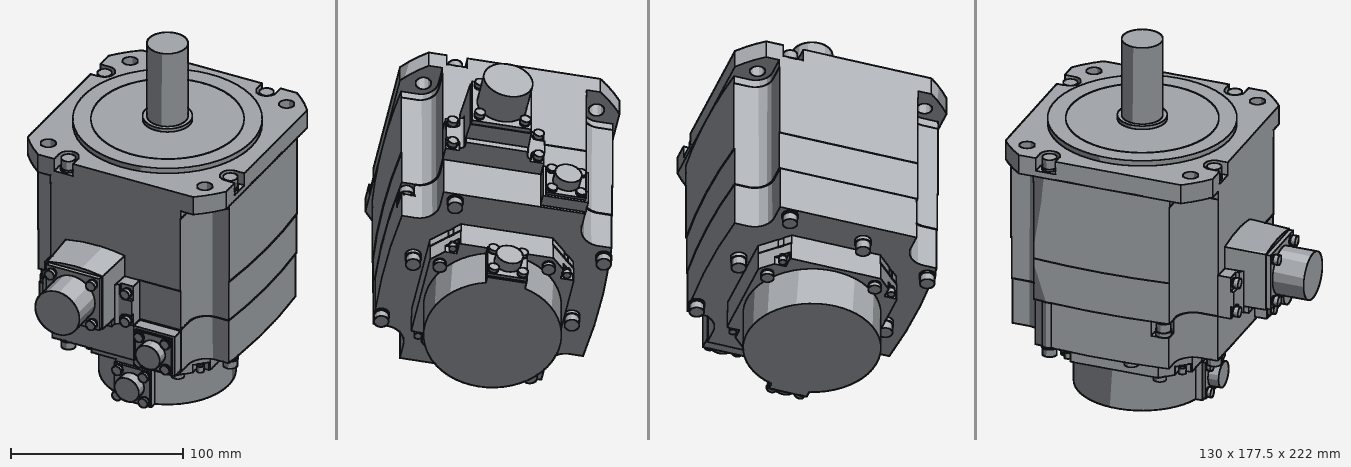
import cadquery as cq
import math


SHAFT_END = 55.0
COLLAR_TOP = 5.4
PILOT_TOP = 3.4
FLANGE_BOTTOM = -12.0
RELIEF_BOTTOM = -17.3
BODY_SPLIT = -66.8
BODY_BOTTOM = -93.5
BASE_BOTTOM = -122.8
BLOCK_BOTTOM = -140.7
OVERALL_LENGTH = 222.0
COVER_BOTTOM = SHAFT_END - OVERALL_LENGTH

SHAFT_DIA = 24.0
COLLAR_DIA = 29.0
PILOT_DIA = 110.0
SEAL_RECESS_DIA = 89.0
SEAL_RECESS_DEPTH = 0.2
FLANGE_SIZE = 130.0
FLANGE_CORNER_DIA = 165.0
BOLT_CIRCLE = 145.0
BOLT_HOLE_DIA = 9.0

BODY_WALL = 42.5
RELIEF_WALL = 42.7
BASE_WALL = 41.9
BODY_TANGENT = 54.0
RELIEF_TANGENT = 53.0
FACE_BULGE = 2.3
FACE_RADIUS = (BODY_WALL ** 2 + FACE_BULGE ** 2) / (2 * FACE_BULGE)
UPPER_HALF = FLANGE_SIZE / 2
LOWER_HALF = 64.6
BASE_HALF = 64.3

SCREW_X, SCREW_Y = 34.0, 59.0
HEAD_DIA = 8.5
HEAD_HEIGHT = 5.0
WASHER_DIA = 9.4
WASHER_HEIGHT = 1.3
FLANGE_POCKET_WIDTH = 12.2
FLANGE_POCKET_DEPTH = 8.2

BLOCK_HALF = 42.5
BLOCK_CHAMFER = 15.0
COVER_DIA = 80.0

OVERLAP = 1.0
CONNECTOR_SCREW_DIA = 6.0
CONNECTOR_WASHER_DIA = 5.4
SMALL_PLUG_DIA = 15.8
SMALL_PLATE = 23.5
SMALL_SCREW_OFFSET = 8.6
ENCODER_CONNECTOR_X, ENCODER_CONNECTOR_Z = 28.9, -107.7
COVER_CONNECTOR_Z = -153.8
POWER_X, POWER_Z = -13.3, -71.5
BRACKET_FACE = -74.8
POWER_SEAT = -90.3
POWER_PLUG_DIA = 29.0
OVERALL_DEPTH = 177.49
POWER_PLUG_END = FLANGE_SIZE / 2 - OVERALL_DEPTH


def box(x0, x1, y0, y1, z0, z1):
    """Box between two opposite corners."""
    return cq.Workplane("XY").box(x1 - x0, y1 - y0, z1 - z0, centered=False).translate((x0, y0, z0))


def rod_z(dia, z0, z1, x=0.0, y=0.0):
    """Cylinder along Z."""
    return cq.Workplane("XY", origin=(x, y, z0)).circle(dia / 2).extrude(z1 - z0)


def rod_y(dia, y0, y1, x, z):
    """Cylinder along Y, running from y0 out to the lower value y1."""
    return cq.Workplane("XZ", origin=(x, y0, z)).circle(dia / 2).extrude(y0 - y1)


def quarter_turns(shape):
    """The shape and its copies at 90, 180 and 270 degrees about the shaft axis."""
    return [shape.rotate((0, 0, 0), (0, 0, 1), 90 * i) for i in range(4)]


def join(shape, parts):
    for part in parts:
        shape = shape.union(part)
    return shape


def cut_all(shape, tools):
    for tool in tools:
        shape = shape.cut(tool)
    return shape


def screw_z(x, y, seat, direction, washer_height=WASHER_HEIGHT, washer_dia=WASHER_DIA,
            head_dia=HEAD_DIA, head_height=HEAD_HEIGHT):
    """Screw head on a washer, standing on a seat and pointing up (+1) or down (-1)."""
    head_seat = seat + direction * washer_height
    washer = rod_z(washer_dia, seat, head_seat, x, y)
    return washer.union(rod_z(head_dia, head_seat, head_seat + direction * head_height, x, y))


def screw_y(x, z, seat, washer_height, height):
    """Small connector screw pointing towards -Y, with its total height above the seat."""
    washer = rod_y(CONNECTOR_WASHER_DIA, seat, seat - washer_height, x, z)
    return washer.union(rod_y(CONNECTOR_SCREW_DIA, seat - washer_height, seat - height, x, z))


def housing(half, wall, tangent, top, bottom):
    """Housing length: flat Y faces, slightly bulged X faces, four round-bottomed corner notches."""
    edge = half - FACE_RADIUS + math.sqrt(FACE_RADIUS ** 2 - wall ** 2)
    mid = wall + (tangent - wall) * (1 - math.sqrt(0.5))
    outline = (
        cq.Workplane("XY", origin=(0, 0, bottom))
        .moveTo(-wall, -half).lineTo(wall, -half)
        .lineTo(wall, -tangent).threePointArc((mid, -mid), (tangent, -wall))
        .lineTo(edge, -wall).threePointArc((half, 0), (edge, wall))
        .lineTo(tangent, wall).threePointArc((mid, mid), (wall, tangent))
        .lineTo(wall, half).lineTo(-wall, half)
        .lineTo(-wall, tangent).threePointArc((-mid, mid), (-tangent, wall))
        .lineTo(-edge, wall).threePointArc((-half, 0), (-edge, -wall))
        .lineTo(-tangent, -wall).threePointArc((-mid, -mid), (-wall, -tangent))
        .close()
    )
    return outline.extrude(top - bottom)


def flange():
    """Square flange with rounded-off corners, bolt holes and four recessed screws."""
    side = FLANGE_SIZE / 2
    plate = box(-side, side, -side, side, FLANGE_BOTTOM, 0)
    plate = plate.intersect(rod_z(FLANGE_CORNER_DIA, FLANGE_BOTTOM, 0))
    hole_at = BOLT_CIRCLE / 2 * math.sqrt(0.5)
    plate = cut_all(plate, quarter_turns(rod_z(BOLT_HOLE_DIA, FLANGE_BOTTOM, 0, hole_at, hole_at)))
    reach = FLANGE_POCKET_WIDTH / 2
    pocket = rod_z(FLANGE_POCKET_WIDTH, -FLANGE_POCKET_DEPTH, 0, SCREW_X, SCREW_Y).union(
        box(SCREW_X - reach, SCREW_X + reach, SCREW_Y, side, -FLANGE_POCKET_DEPTH, 0)
    )
    plate = cut_all(plate, quarter_turns(pocket))
    head_height = 6.1
    screw = screw_z(SCREW_X, SCREW_Y, -FLANGE_POCKET_DEPTH, 1, head_height=head_height)
    return join(plate, quarter_turns(screw))


def shaft_end():
    """Pilot with its shallow seal recess, collar and shaft."""
    pilot = rod_z(PILOT_DIA, 0, PILOT_TOP)
    recess = rod_z(SEAL_RECESS_DIA, PILOT_TOP - SEAL_RECESS_DEPTH, PILOT_TOP)
    pilot = pilot.cut(recess)
    return join(pilot, [rod_z(COLLAR_DIA, 0, COLLAR_TOP), rod_z(SHAFT_DIA, 0, SHAFT_END)])


def motor_body():
    """Front relief, upper housing and the slightly smaller lower housing."""
    relief = housing(UPPER_HALF, RELIEF_WALL, RELIEF_TANGENT, FLANGE_BOTTOM, RELIEF_BOTTOM)
    upper = housing(UPPER_HALF, BODY_WALL, BODY_TANGENT, RELIEF_BOTTOM, BODY_SPLIT)
    lower = housing(LOWER_HALF, BODY_WALL, BODY_TANGENT, BODY_SPLIT, BODY_BOTTOM)
    return join(relief, [upper, lower])


def rear_base():
    """Rear housing with a side pocket for one screw and screws on its underside."""
    base = housing(BASE_HALF, BASE_WALL, BODY_TANGENT, BODY_BOTTOM, BASE_BOTTOM)

    pocket_x, pocket_y = -58.5, -37.3
    pocket_radius = 6.0
    pocket_floor = -102.9
    pocket_washer_height = 2.9
    pocket_head_height = 5.6
    pocket = rod_z(2 * pocket_radius, pocket_floor, BODY_BOTTOM, pocket_x, pocket_y).union(
        box(-BASE_HALF, pocket_x, pocket_y - pocket_radius, pocket_y + pocket_radius,
            pocket_floor, BODY_BOTTOM)
    )
    base = base.cut(pocket)
    base = base.union(screw_z(pocket_x, pocket_y, pocket_floor, 1, pocket_washer_height,
                              head_height=pocket_head_height))

    boss_dia = 9.6
    base = base.union(rod_z(boss_dia, BASE_BOTTOM, BODY_BOTTOM, -SCREW_Y, SCREW_X))

    base = join(base, quarter_turns(screw_z(SCREW_X, SCREW_Y, BASE_BOTTOM, -1)))
    inner_offset, side_reach, back_reach = 13.5, 49.7, 51.3
    tall_washer, tall_head = 2.6, 5.5
    for x, y in ((-side_reach, -inner_offset), (-inner_offset, back_reach), (side_reach, inner_offset)):
        base = base.union(screw_z(x, y, BASE_BOTTOM, -1, tall_washer, head_height=tall_head))
    return base


def encoder_block():
    """Chamfered encoder block with corner slots, and screws around the cover."""
    block = box(-BLOCK_HALF, BLOCK_HALF, -BLOCK_HALF, BLOCK_HALF, BLOCK_BOTTOM, BASE_BOTTOM)
    block = block.edges("|Z").chamfer(BLOCK_CHAMFER)

    step_bottom = -128.7
    set_back = 0.3
    corner_distance = math.sqrt(2) * (BLOCK_HALF - BLOCK_CHAMFER / 2)
    step = box(corner_distance - set_back, 2 * BLOCK_HALF, -BLOCK_HALF, BLOCK_HALF,
               step_bottom, BASE_BOTTOM)
    groove_half, groove_depth = 1.8, 0.6
    groove_offset = 3.7
    groove = box(corner_distance - groove_depth, 2 * BLOCK_HALF, groove_offset - groove_half,
                 groove_offset + groove_half, step_bottom, BASE_BOTTOM)
    for tool in (step, groove):
        block = cut_all(block, quarter_turns(tool.rotate((0, 0, 0), (0, 0, 1), 45)))

    slot_x, slot_y = -31.6, -37.8
    slot_half_x, slot_half_y = 3.4, 3.0
    slot_top = BLOCK_BOTTOM + 5.2
    slot = box(slot_x - slot_half_x, slot_x + slot_half_x, -BLOCK_HALF, slot_y + slot_half_y,
               BLOCK_BOTTOM, slot_top)
    block = cut_all(block, quarter_turns(slot))
    slot_screw_shift = 0.5
    slot_screw = screw_z(slot_x + slot_screw_shift, slot_y, slot_top, -1, washer_height=1.4, washer_dia=3.2,
                         head_dia=4.4, head_height=3.8)
    block = join(block, quarter_turns(slot_screw))

    clamp_x, clamp_y = -36.4, -25.9
    clamp = screw_z(clamp_x, clamp_y, BLOCK_BOTTOM, -1, washer_height=0.9, washer_dia=7.0,
                    head_dia=7.6, head_height=3.0)
    return join(block, quarter_turns(clamp))


def small_connector(x, z, seat, plate_depth, plug_depth, screw_height):
    """Square plate with a round plug and four corner screws, facing -Y."""
    half = SMALL_PLATE / 2
    face = seat - plate_depth
    washer_height = 0.5
    shape = box(x - half, x + half, face, seat, z - half, z + half)
    shape = shape.union(rod_y(SMALL_PLUG_DIA, face, face - plug_depth, x, z))
    for dx in (-SMALL_SCREW_OFFSET, SMALL_SCREW_OFFSET):
        for dz in (-SMALL_SCREW_OFFSET, SMALL_SCREW_OFFSET):
            shape = shape.union(screw_y(x + dx, z + dz, face, washer_height, screw_height))
    return shape


def rear_cover():
    """Round end cover with a flat pad and its connector."""
    pad_face = -BLOCK_HALF
    half = 11.6
    cover = rod_z(COVER_DIA, COVER_BOTTOM, BLOCK_BOTTOM)
    cover = cover.union(box(-half, half, pad_face, 0, COVER_BOTTOM, BLOCK_BOTTOM))
    return cover.union(
        small_connector(0, COVER_CONNECTOR_Z, pad_face, plate_depth=1.9, plug_depth=6.6, screw_height=3.0)
    )


def encoder_connector():
    """Square socket box on the rear base with its connector."""
    half = 13.4
    face = -71.6
    socket = box(ENCODER_CONNECTOR_X - half, ENCODER_CONNECTOR_X + half, face, -BASE_HALF + OVERLAP,
                 ENCODER_CONNECTOR_Z - half, ENCODER_CONNECTOR_Z + half)
    return socket.union(
        small_connector(ENCODER_CONNECTOR_X, ENCODER_CONNECTOR_Z, face,
                        plate_depth=1.6, plug_depth=6.8, screw_height=2.1)
    )


def power_bracket():
    """Mounting block of the power connector, with a spot-faced screw near each corner."""
    half_width = 29.1
    spot_face = -72.8
    spot_radius = 4.3
    screw_height = 4.1
    washer_height = 0.9
    screw_offset = 25.4
    lower_screw_z = -90.1
    left, right = POWER_X - half_width, POWER_X + half_width
    bracket = box(left, right, BRACKET_FACE, -LOWER_HALF + OVERLAP, BODY_BOTTOM, BODY_SPLIT)
    for x, edge in ((POWER_X - screw_offset, left), (POWER_X + screw_offset, right)):
        for z, rim in ((POWER_Z, BODY_SPLIT), (lower_screw_z, BODY_BOTTOM)):
            round_end = rod_y(2 * spot_radius, spot_face, BRACKET_FACE, x, z)
            to_side = box(min(x, edge), max(x, edge), BRACKET_FACE, spot_face,
                          z - spot_radius, z + spot_radius)
            to_rim = box(x - spot_radius, x + spot_radius, BRACKET_FACE, spot_face,
                         min(z, rim), max(z, rim))
            bracket = cut_all(bracket, [round_end, to_side, to_rim])
            bracket = bracket.union(screw_y(x, z, spot_face, washer_height, screw_height))
    return bracket


def power_body():
    """Tapered connector body with an arched top, its foot and side fillets."""
    root, face = -UPPER_HALF + OVERLAP, POWER_SEAT
    root_half, face_half = 19.35, 18.0
    bottom = -89.5
    top_drop = 0.8

    def outline(plane, half, shoulder_z, crown_z):
        return (plane.moveTo(-half, bottom).lineTo(half, bottom).lineTo(half, shoulder_z)
                .threePointArc((0, crown_z), (-half, shoulder_z)).close())

    shoulder, crown = -52.8, -50.85
    arch_root = outline(cq.Workplane("XZ", origin=(POWER_X, root, 0)), root_half, shoulder, crown)
    depth = root - face
    body = outline(arch_root.workplane(offset=depth), face_half,
                   shoulder - top_drop, crown - top_drop).loft(ruled=True)

    foot_half = 18.4
    foot_face = -79.6
    body = body.union(box(POWER_X - foot_half, POWER_X + foot_half, foot_face, root, BODY_BOTTOM, bottom))

    fillet_radius, fillet_start = 1.8, 18.8
    fillet_half = fillet_start + fillet_radius
    fillets = box(POWER_X - fillet_half, POWER_X + fillet_half, BRACKET_FACE - fillet_radius,
                  BRACKET_FACE, BODY_BOTTOM, BODY_SPLIT)
    for side in (-1, 1):
        fillets = fillets.cut(rod_z(2 * fillet_radius, BODY_BOTTOM, BODY_SPLIT,
                                    POWER_X + side * fillet_half, BRACKET_FACE - fillet_radius))
    return body.union(fillets)


def power_plug():
    """Square plate with the large round plug and four screws."""
    face = -93.0
    half = 17.5
    screw_offset = 13.4
    washer_height, screw_height = 0.9, 3.9
    plug = box(POWER_X - half, POWER_X + half, face, POWER_SEAT, POWER_Z - half, POWER_Z + half)
    plug = plug.union(rod_y(POWER_PLUG_DIA, face, POWER_PLUG_END, POWER_X, POWER_Z))
    for dx in (-screw_offset, screw_offset):
        for dz in (-screw_offset, screw_offset):
            plug = plug.union(screw_y(POWER_X + dx, POWER_Z + dz, face, washer_height, screw_height))
    return plug


result = join(flange(), [
    shaft_end(),
    motor_body(),
    rear_base(),
    encoder_block(),
    rear_cover(),
    encoder_connector(),
    power_bracket(),
    power_body(),
    power_plug(),
])